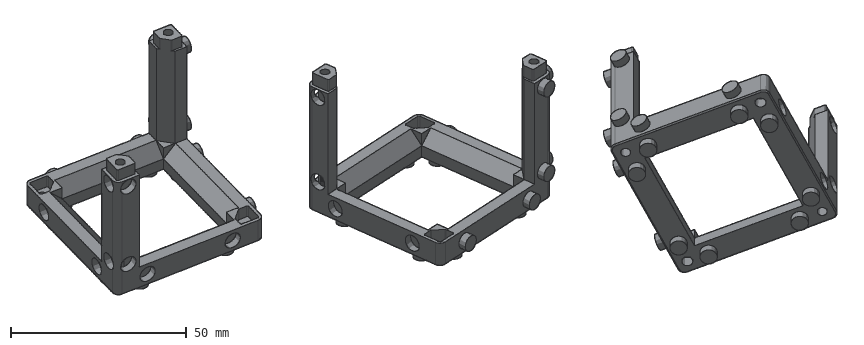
import cadquery as cq
import math

SIDE = 49.55
BAR = 7.85
CORNER_RADIUS = 2.0
BAR_CHAMFER = 4.05
POST_CHAMFER = 3.85
BOTTOM_CHAMFER = 0.4
POST_TOP = SIDE - BAR

TENON_TOP = 45.65
TENON_HEIGHT = TENON_TOP - POST_TOP
TENON_INSET = 1.05
TENON_WIDTH = 6.1
TENON_CHAMFER = POST_CHAMFER - 2 * (BAR - TENON_INSET - TENON_WIDTH)
SOCKET_CHAMFER = 3.0
TENON_FILLET = 0.4

SCREW_INSET = 3.7
THREAD_DIAMETER = 2.8
THREAD_TIP_ANGLE = 118
TOP_THREAD_DEPTH = 3.1
BOTTOM_THREAD_DEPTH = 14.55
CLEARANCE_DIAMETER = 3.1

PIN_DIAMETER = 4.95
PIN_HEIGHT = 2.35
PIN_HOLE_DIAMETER = 5.1
PIN_HOLE_DEPTH = 2.35
PIN_INSET = 4.1
PIN_SPACING = 28.5

NEAR = PIN_INSET
FAR = SIDE - PIN_INSET
FIRST = (SIDE - PIN_SPACING) / 2
SECOND = (SIDE + PIN_SPACING) / 2

SOCKET_TURNS = (0, 180)
POST_TURNS = (90, 270)


def turned(shape, angle):
    """Turn a shape about the vertical axis through the middle of the frame."""
    middle = SIDE / 2
    return shape.rotate((middle, middle, 0), (middle, middle, 1), angle)


def corner_block(width, height, chamfer):
    """Square block at the origin, with its (+X, +Y) vertical edge cut off."""
    block = cq.Workplane("XY").rect(width, width, centered=False).extrude(height)
    return block.edges(">X and >Y").chamfer(chamfer)


def make_base():
    """Square ring of four bars, chamfered between the corner blocks."""
    opening = SIDE - 2 * BAR
    base = cq.Workplane("XY").rect(SIDE, SIDE, centered=False).extrude(BAR)
    base = base.cut(cq.Workplane("XY").box(opening, opening, BAR, centered=False).translate((BAR, BAR, 0)))
    cutter = (
        cq.Workplane("YZ", origin=(BAR, 0, 0))
        .moveTo(BAR, BAR)
        .lineTo(BAR - BAR_CHAMFER, BAR)
        .lineTo(BAR, BAR - BAR_CHAMFER)
        .close()
        .extrude(opening)
    )
    for angle in SOCKET_TURNS + POST_TURNS:
        base = base.cut(turned(cutter, angle))
    return base


def tenon_shape(chamfer):
    """Filleted tenon outline, used for both the tenons and the sockets."""
    block = corner_block(TENON_WIDTH, TENON_HEIGHT, chamfer)
    return block.edges("|Z").fillet(TENON_FILLET).translate((TENON_INSET, TENON_INSET, 0))


def thread_hole(depth):
    """Drilled hole going up from the origin, with a conical tip."""
    drill = cq.Workplane("XY").circle(THREAD_DIAMETER / 2).extrude(depth)
    tip = THREAD_DIAMETER / 2 / math.tan(math.radians(THREAD_TIP_ANGLE / 2))
    cone = cq.Solid.makeCone(THREAD_DIAMETER / 2, 0, tip, cq.Vector(0, 0, depth))
    return drill.union(cq.Workplane(cone))


def pegs(plane, points, diameter, length):
    """Cylinders that start at the given points and run along the normal of the plane."""
    return cq.Workplane(plane).pushPoints(points).circle(diameter / 2).extrude(length)


body = make_base()
post = corner_block(BAR, POST_TOP - BAR, POST_CHAMFER).translate((0, 0, BAR))
for angle in POST_TURNS:
    body = body.union(turned(post, angle))

outer_limit = cq.Workplane("XY").rect(SIDE, SIDE, centered=False).extrude(POST_TOP)
outer_limit = outer_limit.edges("|Z").fillet(CORNER_RADIUS).faces("<Z").chamfer(BOTTOM_CHAMFER)
body = body.intersect(outer_limit)

tenon = tenon_shape(TENON_CHAMFER).translate((0, 0, POST_TOP))
top_hole = thread_hole(TOP_THREAD_DEPTH).rotate((0, 0, 0), (1, 0, 0), 180)
top_hole = top_hole.translate((SCREW_INSET, SCREW_INSET, TENON_TOP))
bottom_hole = thread_hole(BOTTOM_THREAD_DEPTH).translate((SCREW_INSET, SCREW_INSET, 0))
for angle in POST_TURNS:
    body = body.union(turned(tenon, angle))
    body = body.cut(turned(top_hole, angle)).cut(turned(bottom_hole, angle))

socket = tenon_shape(SOCKET_CHAMFER).translate((0, 0, BAR - TENON_HEIGHT))
clearance_hole = cq.Workplane("XY").circle(CLEARANCE_DIAMETER / 2).extrude(BAR)
clearance_hole = clearance_hole.translate((SCREW_INSET, SCREW_INSET, 0))
for angle in SOCKET_TURNS:
    body = body.cut(turned(socket, angle)).cut(turned(clearance_hole, angle))

bar_and_post = [(FIRST, NEAR), (SECOND, NEAR), (FAR, FIRST), (FAR, SECOND)]
mirrored = [(SIDE - along, height) for along, height in bar_and_post]

ring = [(a, b) for a in (FIRST, SECOND) for b in (NEAR, FAR)]
ring += [(b, a) for a, b in ring]

pins = pegs("YZ", bar_and_post, PIN_DIAMETER, -PIN_HEIGHT)
pins = pins.union(pegs("XZ", mirrored, PIN_DIAMETER, -PIN_HEIGHT).translate((0, SIDE, 0)))
pins = pins.union(pegs("XY", ring, PIN_DIAMETER, -PIN_HEIGHT))
holes = pegs("YZ", mirrored, PIN_HOLE_DIAMETER, -PIN_HOLE_DEPTH).translate((SIDE, 0, 0))
holes = holes.union(pegs("XZ", bar_and_post, PIN_HOLE_DIAMETER, -PIN_HOLE_DEPTH))

result = body.cut(holes).union(pins)